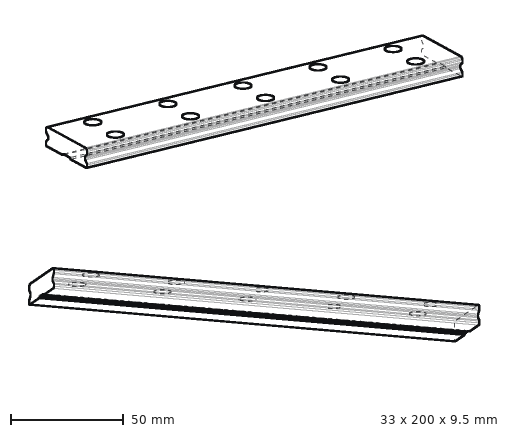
import cadquery as cq

length = 200.0
width = 33.0
height = 9.5
half_width = width / 2

groove_depth = 1.8
groove_center_z = 4.5
groove_floor_height = 1.2

top_chamfer = 1.0
edge_radius = 0.8

relief_mouth_width = 6.5
relief_depth = 0.5

cap_diameter = 7.5
cap_recess = 0.1
cap_rows = 2
cap_row_spacing = 18.0
caps_per_row = 5
cap_pitch = length / caps_per_row


def extrude_along_y(outline):
    """Close an (x, z) outline and extrude it over the full rail length."""
    return cq.Workplane("XZ").polyline(outline).close().extrude(length / 2, both=True)


def rail_body():
    """Rounded rail with a groove along each side, symmetric about X = 0."""
    floor_x = half_width - groove_depth
    floor_bottom = groove_center_z - groove_floor_height / 2
    floor_top = groove_center_z + groove_floor_height / 2
    right_side = [
        (half_width, 0),
        (half_width, floor_bottom - groove_depth),
        (floor_x, floor_bottom),
        (floor_x, floor_top),
        (half_width, floor_top + groove_depth),
        (half_width, height - top_chamfer),
        (half_width - top_chamfer, height),
    ]
    left_side = [(-x, z) for x, z in reversed(right_side)]
    return extrude_along_y(right_side + left_side).edges("|Y").fillet(edge_radius)


def underside_relief():
    """Full-length channel that narrows upward from the bottom face."""
    mouth_x = relief_mouth_width / 2
    ceiling_x = mouth_x - relief_depth
    return extrude_along_y(
        [(-mouth_x, 0), (mouth_x, 0), (ceiling_x, relief_depth), (-ceiling_x, relief_depth)]
    )


def cap_recesses():
    """Shallow discs that mark the bolt caps in the top face."""
    return (
        cq.Workplane("XY", origin=(0, 0, height))
        .rarray(cap_row_spacing, cap_pitch, cap_rows, caps_per_row)
        .circle(cap_diameter / 2)
        .extrude(-cap_recess)
    )


result = rail_body().cut(underside_relief()).cut(cap_recesses())